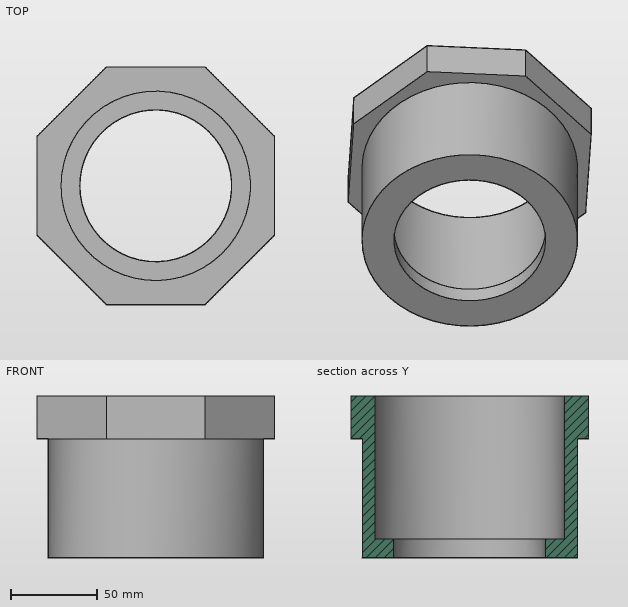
import cadquery as cq
import math

flange_across_flats = 138.0
flange_height = 25.0
flange_sides = 8

body_diameter = 125.0
body_height = 69.0

socket_diameter = 109.8
bore_diameter = 87.9
ledge_thickness = (socket_diameter - bore_diameter) / 2

total_height = body_height + flange_height
socket_depth = total_height - ledge_thickness
flange_across_corners = flange_across_flats / math.cos(math.pi / flange_sides)

body = cq.Workplane("XY").circle(body_diameter / 2).extrude(body_height)

flange = (
    cq.Workplane("XY")
    .workplane(offset=body_height)
    .polygon(flange_sides, flange_across_corners)
    .extrude(flange_height)
    .rotate((0, 0, 0), (0, 0, 1), 180 / flange_sides)
)

bushing = body.union(flange)
top_face = bushing.faces(">Z").workplane(origin=(0, 0, total_height))
result = top_face.cboreHole(bore_diameter, socket_diameter, socket_depth)